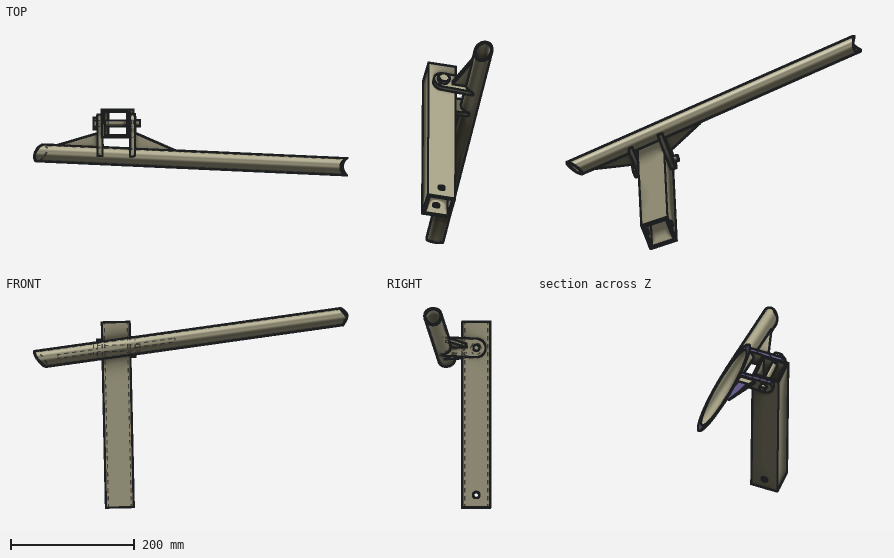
import cadquery as cq
import math

SWIVEL = 0.4
LEAN = 1.29

POST_SIDE = 45.0
POST_WALL = 4.0
POST_LENGTH = 300.0
PIVOT_BELOW_TOP = 42.5
LOWER_HOLE_ABOVE_END = 20.0

BOLT_DIAMETER = 10.0
HEAD_ACROSS_FLATS = 17.0
HEAD_HEIGHT = 6.4
BOLT_TAIL = 8.0

LUG_THICKNESS = 8.0
LUG_RADIUS = 15.0
LUG_TILT = 2.5

ROD_DIAMETER = 28.0
ROD_WALL = 2.0
ROD_OFFSET = 53.1
ROD_RISE = 6.69
ROD_SWING = -3.0
ROD_LEFT = 123.8
ROD_RIGHT = 376.9

MITRE_ANGLE = 32.3
MITRE_ROLL = 33.0
NOTCH_RADIUS = 15.5
NOTCH_DEPTH = 9.0
NOTCH_ROLL = 4.0

GUSSET_THICKNESS = 6.0
GUSSET_START = 15.5
GUSSET_LENGTH = 65.0

ROD_RADIUS = ROD_DIAMETER / 2
ROD_BORE = ROD_DIAMETER - 2 * ROD_WALL
POST_HALF = POST_SIDE / 2
POST_BORE = POST_SIDE - 2 * POST_WALL
POST_BOTTOM = PIVOT_BELOW_TOP - POST_LENGTH
LUG_OUTER = POST_HALF + LUG_THICKNESS


def x_cylinder(diameter, start, end, z=0.0):
    """Cylinder parallel to X."""
    return cq.Workplane("YZ", origin=(start, 0, z)).circle(diameter / 2).extrude(end - start)


def place_on_rod(shape):
    """Carry a shape made along X at the origin onto the rod axis."""
    risen = shape.rotate((0, 0, 0), (0, 1, 0), -ROD_RISE)
    swung = risen.rotate((0, 0, 0), (0, 0, 1), ROD_SWING)
    return swung.translate((0, -ROD_OFFSET, 0))


def rod_axis_y(x):
    """Y of the rod axis at a given x."""
    return -ROD_OFFSET + math.tan(math.radians(ROD_SWING)) * x


def set_attitude(body):
    """Swivel about the post axis, then lean about Y."""
    return body.rotate((0, 0, 0), (0, 0, 1), SWIVEL).rotate((0, 0, 0), (0, 1, 0), -LEAN)


def make_post():
    """Square tube with a cross hole at the pivot and another near its lower end."""
    tube = (
        cq.Workplane("XY", origin=(0, 0, POST_BOTTOM))
        .rect(POST_SIDE, POST_SIDE)
        .rect(POST_BORE, POST_BORE)
        .extrude(POST_LENGTH)
    )
    for z in (0.0, POST_BOTTOM + LOWER_HOLE_ABOVE_END):
        tube = tube.cut(x_cylinder(BOLT_DIAMETER, -POST_SIDE, POST_SIDE, z))
    return tube


def make_bolt():
    """Hex bolt with its head against the left lug."""
    shank = x_cylinder(BOLT_DIAMETER, -LUG_OUTER, LUG_OUTER + BOLT_TAIL)
    across_corners = HEAD_ACROSS_FLATS / math.cos(math.pi / 6)
    head = (
        cq.Workplane("YZ", origin=(-LUG_OUTER, 0, 0))
        .polygon(6, across_corners)
        .extrude(-HEAD_HEIGHT)
    )
    return shank.union(head)


def rod_blank(diameter):
    """Full-length round bar along X, long enough on the left for the mitre."""
    return x_cylinder(diameter, -ROD_LEFT - ROD_DIAMETER, ROD_RIGHT)


def mitre_cutter():
    """Block whose slanted face crosses the rod axis at the left end."""
    size = 6 * ROD_DIAMETER
    block = cq.Workplane("XY").box(size, size, size).translate((-size / 2, 0, 0))
    slanted = block.rotate((0, 0, 0), (0, 1, 0), -MITRE_ANGLE)
    rolled = slanted.rotate((0, 0, 0), (1, 0, 0), MITRE_ROLL)
    return rolled.translate((-ROD_LEFT, 0, 0))


def notch_cutter():
    """Round bar across the right end of the rod."""
    bar = cq.Workplane("XY").circle(NOTCH_RADIUS).extrude(2 * ROD_DIAMETER, both=True)
    bar = bar.translate((ROD_RIGHT - NOTCH_DEPTH + NOTCH_RADIUS, 0, 0))
    return bar.rotate((0, 0, 0), (1, 0, 0), NOTCH_ROLL)


def make_rod():
    tube = rod_blank(ROD_DIAMETER).cut(rod_blank(ROD_BORE))
    return place_on_rod(tube.cut(mitre_cutter()).cut(notch_cutter()))


def make_lug(side, rod_envelope):
    """Round-ended plate from the bolt to the rod axis; side is -1 for left, 1 for right."""
    inner = side * POST_HALF
    middle = inner + side * LUG_THICKNESS / 2
    reach = -rod_axis_y(middle)
    lug = (
        cq.Workplane("YZ", origin=(inner, 0, 0))
        .moveTo(-reach, -LUG_RADIUS)
        .lineTo(0, -LUG_RADIUS)
        .threePointArc((LUG_RADIUS, 0), (0, LUG_RADIUS))
        .lineTo(-reach, LUG_RADIUS)
        .close()
        .extrude(side * LUG_THICKNESS)
        .rotate((0, 0, 0), (1, 0, 0), -side * LUG_TILT)
    )
    bolt_hole = x_cylinder(BOLT_DIAMETER, -2 * LUG_OUTER, 2 * LUG_OUTER)
    return lug.cut(bolt_hole).cut(rod_envelope)


def make_gusset(side, rod_envelope):
    """Plate lying along the rod, tapering from the lug's outer face to the rod."""
    root_x = side * LUG_OUTER
    tip_x = root_x + side * GUSSET_LENGTH
    tip_y = rod_axis_y(tip_x) + ROD_RADIUS
    outline = [
        (0, -GUSSET_START),
        (root_x, -GUSSET_START),
        (tip_x, tip_y),
        (tip_x, -ROD_OFFSET),
        (0, -ROD_OFFSET),
    ]
    plate = (
        cq.Workplane("XY")
        .polyline(outline)
        .close()
        .extrude(GUSSET_THICKNESS / 2, both=True)
        .rotate((0, 0, 0), (0, 1, 0), -ROD_RISE)
    )
    size = 4 * GUSSET_LENGTH
    inside = cq.Workplane("XY").box(size, size, size).translate((root_x - side * size / 2, 0, 0))
    return plate.cut(inside).cut(rod_envelope)


rod_envelope = place_on_rod(rod_blank(ROD_DIAMETER))

post = make_post()
bolt = make_bolt()
rod = make_rod()
lugs = [make_lug(side, rod_envelope) for side in (-1, 1)]
gussets = [make_gusset(side, rod_envelope) for side in (-1, 1)]

bodies = [post, bolt, rod, *lugs, *gussets]
result = cq.Compound.makeCompound([set_attitude(body).solids().val() for body in bodies])